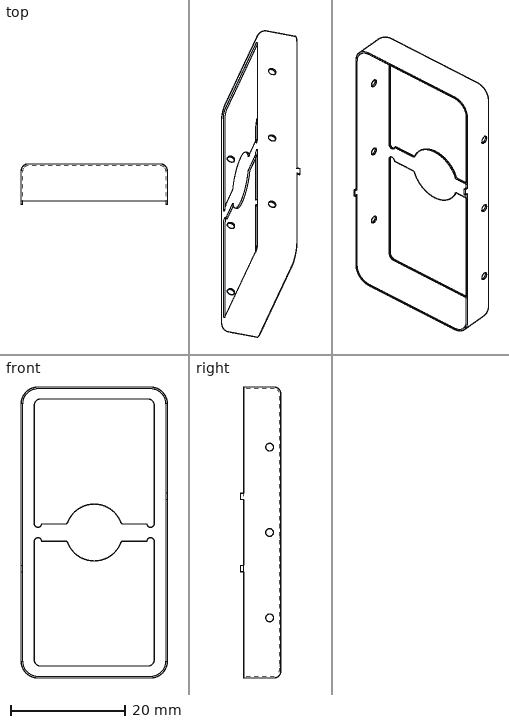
import cadquery as cq

width = 25.7
height = 51.1
body_depth = 6.55
wall = 0.3
corner_radius = 3.0
back_edge_radius = 1.3

side_margin = 2.35
end_margin = 2.15
opening_width = width - 2 * side_margin
opening_height = height - 2 * end_margin
opening_corner_radius = 1.05

strap_height = 3.05
disc_diameter = 10.0
blend_radius = 0.25
notch_radius = 0.6

hole_diameter = 1.35
hole_pitch = 14.95
hole_from_back = 2.0

tab_length = 0.55
tab_height = 1.2
tab_offset = 6.35


def rounded_block(block_width, block_height, depth, radius):
    """Block from y = -depth to y = 0 with rounded corners along Y."""
    return (
        cq.Workplane("XZ")
        .rect(block_width, block_height)
        .extrude(depth)
        .edges("|Y")
        .fillet(radius)
    )


def make_tray():
    """Thin shell of even thickness with a rounded back edge."""
    outer = rounded_block(width, height, body_depth, corner_radius)
    outer = outer.faces(">Y").edges().fillet(back_edge_radius)
    cavity = rounded_block(
        width - 2 * wall, height - 2 * wall, body_depth - wall, corner_radius - wall
    )
    cavity = cavity.faces(">Y").edges().fillet(back_edge_radius - wall)
    return outer.cut(cavity.translate((0, -wall, 0)))


def make_strap():
    """Strap and disc, necked by round notches beside the frame."""
    strap = cq.Workplane("XZ").rect(opening_width, strap_height).extrude(wall)
    disc = cq.Workplane("XZ").circle(disc_diameter / 2).extrude(wall)
    junctions = cq.selectors.BoxSelector(
        (-disc_diameter / 2, -wall, -strap_height),
        (disc_diameter / 2, wall, strap_height),
    )
    strap = strap.union(disc).edges("|Y").edges(junctions).fillet(blend_radius)
    notch_x = opening_width / 2 - notch_radius
    notch_z = strap_height / 2
    notches = (
        cq.Workplane("XZ")
        .rect(2 * notch_x, 2 * notch_z, forConstruction=True)
        .vertices()
        .circle(notch_radius)
        .extrude(wall)
    )
    return strap.cut(notches)


def make_side_holes():
    """Row of cylinders crossing both side walls."""
    return (
        cq.Workplane("YZ")
        .pushPoints([(-hole_from_back, row * hole_pitch) for row in (-1, 0, 1)])
        .circle(hole_diameter / 2)
        .extrude(width, both=True)
    )


def make_tab(side):
    """Tab flush with one side wall: low on the -X side, high on the +X side."""
    overlap = wall
    length = tab_length + overlap
    return cq.Workplane("XY").box(wall, length, tab_height).translate(
        (side * (width - wall) / 2, -body_depth - tab_length + length / 2, side * tab_offset)
    )


opening = rounded_block(opening_width, opening_height, wall, opening_corner_radius)
result = make_tray().cut(opening).union(make_strap()).cut(make_side_holes())
for side in (-1, 1):
    result = result.union(make_tab(side))